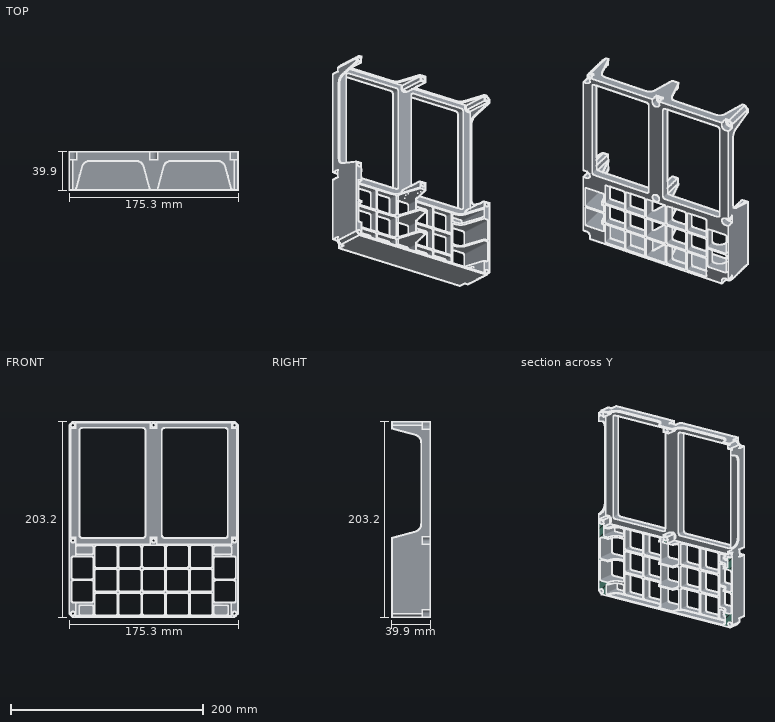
import cadquery as cq
import math

WIDTH = 175.26
DEPTH = 39.88
HEIGHT = 203.2
CORNER_CHAMFER = 3.8
WALL = 1.5
HALF_WIDTH = WIDTH / 2
HALF_HEIGHT = HEIGHT / 2
PLATE_BACK = DEPTH / 2
OPEN_FACE = -DEPTH / 2
CUT_MARGIN = 1.0

RIM_THICKNESS = 9.7
FRAME_THICKNESS = 9.3
POCKET_FLOOR = 1.5

SCREW_INSET = 3.81
SCREW_DIAMETER = 4.12
HEAD_DIAMETER = 8.26
HEAD_DEPTH = 8.26
POST_SIZE = 6.75
SCREW_X = HALF_WIDTH - SCREW_INSET
SCREW_Z = HALF_HEIGHT - SCREW_INSET
MIDDLE_SCREW_Z = -21.9

WINDOW_WIDTH = 68.3
WINDOW_CENTER_X = 42.75
WINDOW_TOP = 94.9
WINDOW_BOTTOM = -19.1
WINDOW_RADIUS = 2.6
FRAME_BOTTOM = -25.9

ARCH_SLOPE = math.radians(15)
ARCH_RADIUS = 8.0
ARM_HALF_WIDTH = SCREW_INSET
ARCH_SIDE_X = 80.8
SIDE_ARCH_TOP = 94.2
SIDE_ARCH_BOTTOM = -19.1

KEY_COLUMNS = 5
KEY_ROWS = 3
KEY_PITCH_X = 24.7
KEY_PITCH_Z = 24.7
KEY_WIDTH = 23.2
KEY_HEIGHT = 23.1
KEY_RADIUS = 1.5
BOTTOM_KEY_MARGIN = 0.6
BOTTOM_KEY_Z = -HALF_HEIGHT + WALL + BOTTOM_KEY_MARGIN + KEY_HEIGHT / 2

SIDE_KEY_INNER_X = 62.6
SIDE_KEY_OUTER_X = 85.1
UPPER_SIDE_KEY = (-61.9, -38.6)
LOWER_SIDE_KEY = (-86.2, -63.4)
PAD_INNER_X = HALF_WIDTH - POST_SIZE
UPPER_POCKET = (-36.4, -27.4)
LOWER_POCKET = (-99.4, -88.9)
LOWER_POCKET_OUTER_X = 77.3


def block(x_range, y_range, z_range):
    """Box filling the given coordinate ranges."""
    sizes = [max(r) - min(r) for r in (x_range, y_range, z_range)]
    corner = [min(r) for r in (x_range, y_range, z_range)]
    return cq.Workplane("XY").box(*sizes, centered=False).translate(tuple(corner))


def opening(x_range, z_range, radius, floor=-CUT_MARGIN):
    """Rounded cutter from the open side down to a floor above the plate's +Y face."""
    depth = (OPEN_FACE - CUT_MARGIN, PLATE_BACK - floor)
    return block(x_range, depth, z_range).edges("|Y").fillet(radius)


def mirrored(shape):
    """Shape together with its mirror image in X."""
    return shape.union(shape.mirror("YZ"))


def make_blank():
    return cq.Workplane("XY").box(WIDTH, DEPTH, HEIGHT).edges("|Y").chamfer(CORNER_CHAMFER)


def make_frame_recess():
    """Space in front of the window frame, leaving the rim and the screw posts."""
    depth = (OPEN_FACE - CUT_MARGIN, PLATE_BACK - FRAME_THICKNESS)
    inner_x = HALF_WIDTH - WALL
    inner_top = HALF_HEIGHT - WALL
    recess = block((-inner_x, inner_x), depth, (FRAME_BOTTOM, inner_top))
    upper_post = (HALF_HEIGHT - POST_SIZE, HALF_HEIGHT)
    middle_post = (FRAME_BOTTOM - CUT_MARGIN, MIDDLE_SCREW_Z + POST_SIZE / 2)
    for post_z in (upper_post, middle_post):
        recess = recess.cut(block((-POST_SIZE / 2, POST_SIZE / 2), depth, post_z))
        recess = recess.cut(mirrored(block((PAD_INNER_X, HALF_WIDTH), depth, post_z)))
    return recess


def make_windows():
    half = WINDOW_WIDTH / 2
    x_range = (WINDOW_CENTER_X - half, WINDOW_CENTER_X + half)
    return mirrored(opening(x_range, (WINDOW_BOTTOM, WINDOW_TOP), WINDOW_RADIUS))


def make_keys():
    keys = cq.Workplane("XY")
    for column in range(KEY_COLUMNS):
        x = (column - (KEY_COLUMNS - 1) / 2) * KEY_PITCH_X
        for row in range(KEY_ROWS):
            z = BOTTOM_KEY_Z + row * KEY_PITCH_Z
            x_range = (x - KEY_WIDTH / 2, x + KEY_WIDTH / 2)
            z_range = (z - KEY_HEIGHT / 2, z + KEY_HEIGHT / 2)
            keys = keys.add(opening(x_range, z_range, KEY_RADIUS))
    return keys.combine()


def make_side_column():
    """Through keys and blind pockets of both side columns."""
    key_x = (SIDE_KEY_INNER_X, SIDE_KEY_OUTER_X)
    upper_x = (SIDE_KEY_INNER_X, PAD_INNER_X)
    lower_x = (SIDE_KEY_INNER_X, LOWER_POCKET_OUTER_X)
    cuts = opening(key_x, UPPER_SIDE_KEY, KEY_RADIUS)
    cuts = cuts.union(opening(key_x, LOWER_SIDE_KEY, KEY_RADIUS))
    cuts = cuts.union(opening(upper_x, UPPER_POCKET, KEY_RADIUS, POCKET_FLOOR))
    cuts = cuts.union(opening(lower_x, LOWER_POCKET, KEY_RADIUS, POCKET_FLOOR))
    return mirrored(cuts)


def arch(plane, start, end, length):
    """Prism narrowing from the open face to the rim, with its two inner corners rounded."""
    rim_y = PLATE_BACK - RIM_THICKNESS
    inset = (rim_y - OPEN_FACE) * math.tan(ARCH_SLOPE)
    flare = CUT_MARGIN * math.tan(ARCH_SLOPE)
    mouth_y = OPEN_FACE - CUT_MARGIN
    points = [
        (start - flare, mouth_y),
        (start + inset, rim_y),
        (end - inset, rim_y),
        (end + flare, mouth_y),
    ]
    if plane == "YZ":
        points = [(y, z) for z, y in points]
    prism = cq.Workplane(plane).polyline(points).close().extrude(length)
    axis = "|X" if plane == "YZ" else "|Z"
    return prism.edges(axis).edges(">Y").fillet(ARCH_RADIUS)


def make_front_arches():
    """Pair of arches running in Z from the bottom wall out through the top wall."""
    pair = mirrored(arch("XY", ARM_HALF_WIDTH, ARCH_SIDE_X, HEIGHT))
    return pair.translate((0, 0, WALL - HALF_HEIGHT))


def make_side_arch():
    """Arch running in X through both side walls beside the windows."""
    return arch("YZ", SIDE_ARCH_BOTTOM, SIDE_ARCH_TOP, WIDTH).translate((-HALF_WIDTH, 0, 0))


def screw_cut(x, z, edge_x, edge_z):
    """Screw hole with a head recess that opens through the nearby outer edges."""
    head_y = PLATE_BACK - HEAD_DEPTH
    head_radius = HEAD_DIAMETER / 2
    head = cq.Workplane("XZ", origin=(x, head_y, z)).circle(head_radius).extrude(-HEAD_DEPTH)
    hole = cq.Workplane("XZ", origin=(x, OPEN_FACE, z)).circle(SCREW_DIAMETER / 2).extrude(-DEPTH)
    cut = head.union(hole)
    depth = (head_y, PLATE_BACK)
    if edge_x:
        outer_x = edge_x * HALF_WIDTH
        cut = cut.union(block((x, outer_x), depth, (z - head_radius, z + head_radius)))
    if edge_z:
        outer_z = edge_z * HALF_HEIGHT
        cut = cut.union(block((x - head_radius, x + head_radius), depth, (z, outer_z)))
    return cut


def make_screws():
    cuts = screw_cut(0, SCREW_Z, 0, 1).union(screw_cut(0, MIDDLE_SCREW_Z, 0, 0))
    for side in (-1, 1):
        cuts = cuts.union(screw_cut(side * SCREW_X, MIDDLE_SCREW_Z, side, 0))
        for end in (-1, 1):
            cuts = cuts.union(screw_cut(side * SCREW_X, end * SCREW_Z, side, end))
    return cuts


result = make_blank()
result = result.cut(make_frame_recess())
result = result.cut(make_windows())
result = result.cut(make_keys())
result = result.cut(make_side_column())
result = result.cut(make_front_arches())
result = result.cut(make_side_arch())
result = result.cut(make_screws())